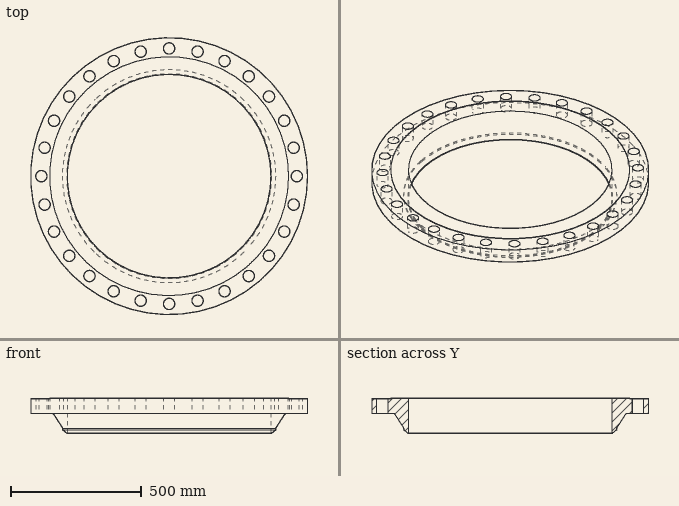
import cadquery as cq

flange_diameter = 1060.0
flange_thickness = 57.0
bore_diameter = 778.0

face_diameter = 914.0
face_height = 2.0

overall_height = 135.0
hub_diameter = 889.0
neck_diameter = 817.0
tip_diameter = 785.0
root_fillet_radius = 11.0
neck_straight = 6.0
bevel_height = 13.0

bolt_count = 28
bolt_circle_diameter = 978.0
bolt_hole_diameter = 42.0

plate_top = overall_height - face_height
plate_bottom = plate_top - flange_thickness
cone_bottom = bevel_height + neck_straight


def flange_body():
    """Revolve the half section (radius, height) about the Z axis."""
    section = [
        (bore_diameter / 2, 0),
        (tip_diameter / 2, 0),
        (neck_diameter / 2, bevel_height),
        (neck_diameter / 2, cone_bottom),
        (hub_diameter / 2, plate_bottom),
        (flange_diameter / 2, plate_bottom),
        (flange_diameter / 2, plate_top),
        (face_diameter / 2, plate_top),
        (face_diameter / 2, overall_height),
        (bore_diameter / 2, overall_height),
    ]
    body = cq.Workplane("XZ").polyline(section).close().revolve(360, (0, 0), (0, 1))
    hub_root = cq.selectors.RadiusNthSelector(3)
    return body.edges("%CIRCLE").edges(hub_root).fillet(root_fillet_radius)


def bolt_holes():
    """Ring of cylinders that pass through the plate, the first one on +X."""
    return (
        cq.Workplane("XY")
        .polarArray(bolt_circle_diameter / 2, 0, 360, bolt_count)
        .circle(bolt_hole_diameter / 2)
        .extrude(overall_height)
    )


result = flange_body().cut(bolt_holes())